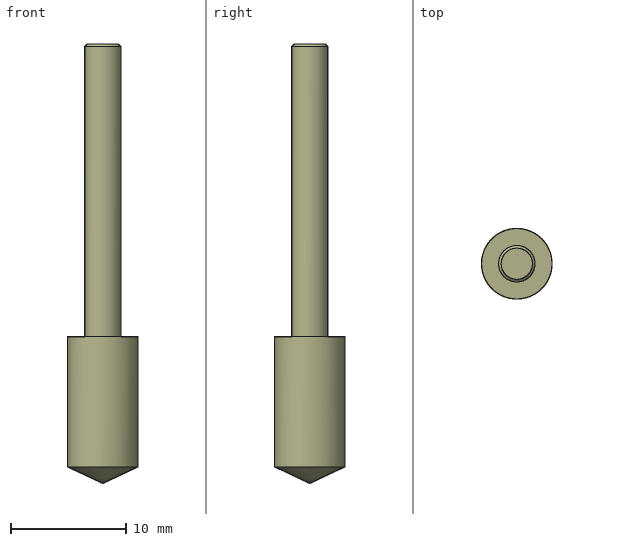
import cadquery as cq

total_length = 38.1
head_diameter = 6.15
shank_diameter = 3.15
head_length = 12.73
cone_height = 1.45
chamfer_size = 0.23

head_radius = head_diameter / 2
shank_length = total_length - head_length


def make_head():
    """Cylinder with a conical point at the bottom; the tip is at the origin."""
    return (
        cq.Workplane("XZ")
        .moveTo(0, 0)
        .lineTo(-head_radius, cone_height)
        .lineTo(-head_radius, head_length)
        .lineTo(0, head_length)
        .close()
        .revolve(360, (0, 0, 0), (0, 1, 0))
    )


def make_shank():
    """Round shank standing on the flat top of the head, chamfered at its free end."""
    return (
        cq.Workplane("XY", origin=(0, 0, head_length))
        .circle(shank_diameter / 2)
        .extrude(shank_length)
        .faces(">Z")
        .chamfer(chamfer_size)
    )


head = make_head()
shank = make_shank()

result = cq.Compound.makeCompound([head.val(), shank.val()])